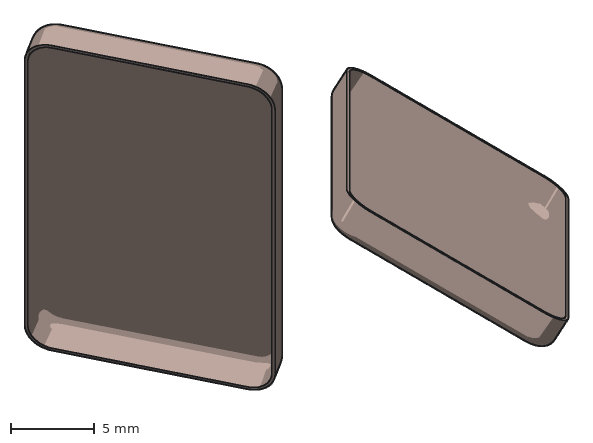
import cadquery as cq

width = 15.49
depth = 2.3
height = 25.65
wall = 0.2
corner_radius = 1.72
back_edge_radius = 0.8


def rounded_block(inset):
    """Block set in from the outer surface, open-side face on Y = 0, rounded at corners and back."""
    return (
        cq.Workplane("XZ")
        .rect(width - 2 * inset, height - 2 * inset)
        .extrude(-(depth - inset))
        .edges("|Y")
        .fillet(corner_radius - inset)
        .faces(">Y")
        .edges()
        .fillet(back_edge_radius - inset)
    )


outer_body = rounded_block(0)
cavity = rounded_block(wall)
result = outer_body.cut(cavity)